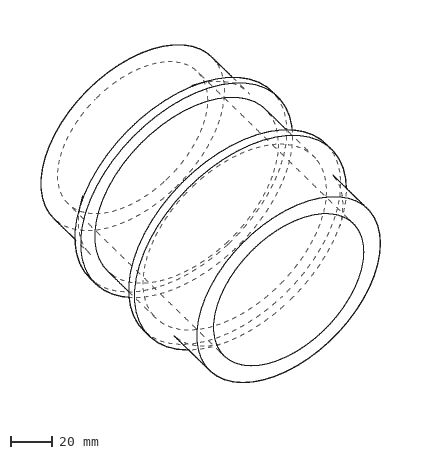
import cadquery as cq
import math

length = 130.0
bore_diameter = 90.0
pipe_diameter = 110.0

collar_diameter = 127.0
collar_gap = 40.0
rim_width = 4.8
fillet_radius = 4.2
cone_angle = math.radians(45)

pipe_radius = pipe_diameter / 2
collar_radius = collar_diameter / 2
root_radius = pipe_radius + fillet_radius * (1 - math.cos(cone_angle))
inner_face = collar_gap / 2
rim_end = inner_face + rim_width
cone_end = rim_end + (collar_radius - root_radius) / math.tan(cone_angle)
fillet_end = cone_end + fillet_radius * math.sin(cone_angle)


def make_collar():
    """Collar on the +X half: flat inner face, rim, cone and foot fillet."""
    overlap_radius = (bore_diameter + pipe_diameter) / 4
    return (
        cq.Workplane("XY")
        .moveTo(inner_face, overlap_radius)
        .lineTo(inner_face, collar_radius)
        .lineTo(rim_end, collar_radius)
        .lineTo(cone_end, root_radius)
        .tangentArcPoint((fillet_end, pipe_radius), relative=False)
        .lineTo(fillet_end, overlap_radius)
        .close()
        .revolve(360, (0, 0, 0), (1, 0, 0))
    )


pipe = (
    cq.Workplane("YZ", origin=(-length / 2, 0, 0))
    .circle(pipe_radius)
    .circle(bore_diameter / 2)
    .extrude(length)
)
collar = make_collar()
result = pipe.union(collar).union(collar.mirror("YZ"))